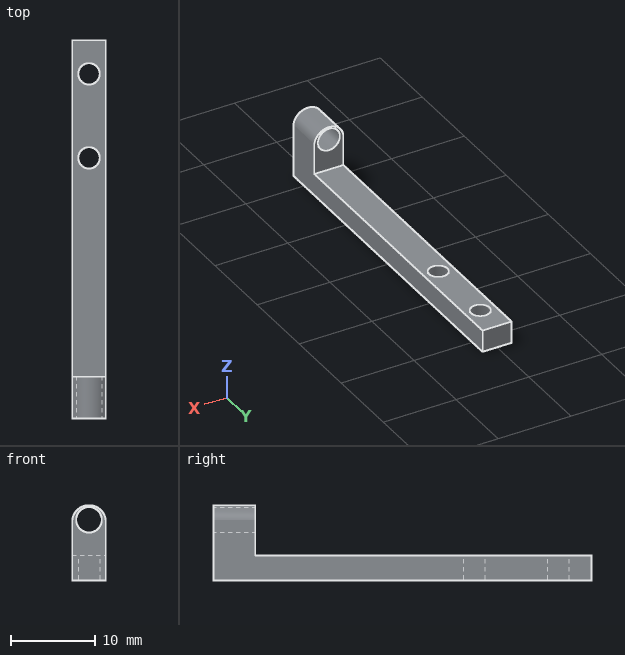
import cadquery as cq

length = 45.0
width = 4.0
height = 9.0
bar_thickness = 3.0
post_depth = 5.0
shoulder_height = 7.25

bore_diameter = 3.0
bore_height = shoulder_height

mount_hole_diameter = 2.5
mount_hole_spacing = 10.0
mount_hole_end_distance = 4.0

bar = cq.Workplane("XY").box(width, length, bar_thickness, centered=(True, False, False))

post = (
    cq.Workplane("XZ")
    .moveTo(-width / 2, 0)
    .lineTo(width / 2, 0)
    .lineTo(width / 2, shoulder_height)
    .threePointArc((0, height), (-width / 2, shoulder_height))
    .close()
    .extrude(-post_depth)
)

bore = (
    cq.Workplane("XZ")
    .center(0, bore_height)
    .circle(bore_diameter / 2)
    .extrude(-post_depth)
)

rear_hole_y = length - mount_hole_end_distance
mount_holes = (
    cq.Workplane("XY")
    .pushPoints([(0, rear_hole_y), (0, rear_hole_y - mount_hole_spacing)])
    .circle(mount_hole_diameter / 2)
    .extrude(bar_thickness)
)

result = bar.union(post).cut(bore).cut(mount_holes)